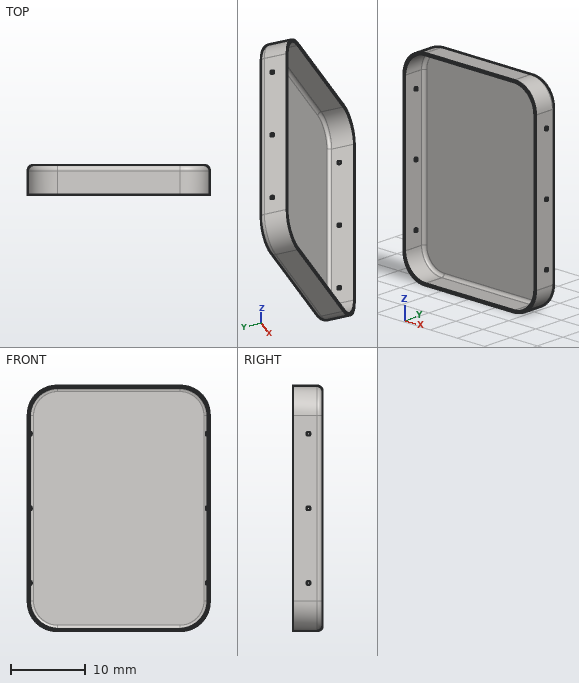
import cadquery as cq

width = 24.4
depth = 4.0
height = 32.9

wall = 0.3
corner_radius = 4.0
back_edge_radius = 0.8

dimple_radius = 0.25
dimple_pitch = 10.0
dimple_rows = 3
dimple_from_rim = 2.1


def rounded_block(inset):
    """Block with rounded corners and back edge, inset from the outer skin on all sides but the rim."""
    block_depth = depth - inset
    return (
        cq.Workplane("XZ")
        .rect(width - 2 * inset, height - 2 * inset)
        .extrude(-block_depth)
        .edges("|Y")
        .fillet(corner_radius - inset)
        .faces(">Y")
        .edges()
        .fillet(back_edge_radius - inset)
    )


def dimple_ball(x, z):
    """Ball centered on a wall surface at the given position."""
    return cq.Workplane("XY").sphere(dimple_radius).translate((x, dimple_from_rim, z))


result = rounded_block(0).cut(rounded_block(wall))

for side in (-1, 1):
    outer_x = side * width / 2
    inner_x = outer_x - side * wall
    for row in range(dimple_rows):
        z = (row - (dimple_rows - 1) / 2) * dimple_pitch
        result = result.union(dimple_ball(inner_x, z), clean=False)
        result = result.cut(dimple_ball(outer_x, z), clean=False)

result = result.translate((0, -depth / 2, 0))